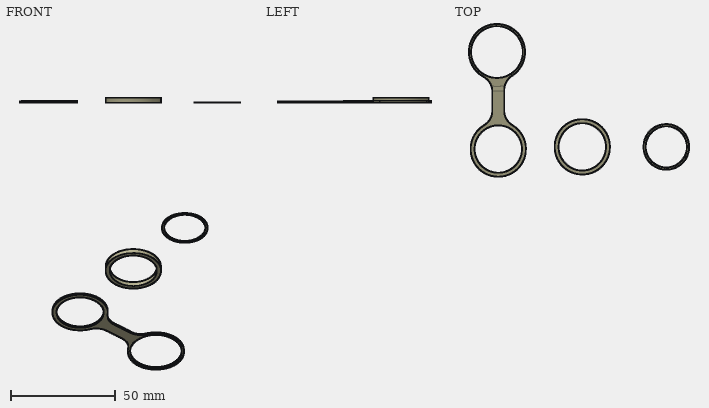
import cadquery as cq
import math

ring_pitch = 40.0
ring_offset_y = 1.0
body_outer_d = 26.5
body_inner_d = 22.5
body_height = 2.5
washer_outer_d = 21.9
washer_inner_d = 19.5
washer_height = 0.3

small_loop_r = body_outer_d / 2
small_loop_hole_d = body_inner_d
large_loop_r = 13.5
large_loop_hole_d = 24.6
large_loop_x = -0.6
large_loop_y = 46.2
neck_width = 5.8
neck_half_width = neck_width / 2
neck_fillet_r = 8.0
strap_height = 1.0
thin_height = 0.8
ramp_start_y = 27.8
ramp_end_r = 16.3


def ring(outer_d, inner_d, height, x, y):
    """Plain flat ring standing on z = 0."""
    return cq.Workplane("XY").center(x, y).circle(outer_d / 2).circle(inner_d / 2).extrude(height)


def flank(loop_x, loop_y, loop_r, side, toward):
    """Fillet between a loop and one neck side: points on the loop, mid-arc and on the neck."""
    center_x = side * (neck_half_width + neck_fillet_r)
    reach = loop_r + neck_fillet_r
    center_y = loop_y + toward * math.sqrt(reach**2 - (center_x - loop_x) ** 2)
    loop_angle = math.atan2(loop_y - center_y, loop_x - center_x)
    neck_point = (side * neck_half_width, center_y)
    loop_point = (
        center_x + neck_fillet_r * math.cos(loop_angle),
        center_y + neck_fillet_r * math.sin(loop_angle),
    )
    chord_x = (neck_point[0] + loop_point[0]) / 2 - center_x
    chord_y = (neck_point[1] + loop_point[1]) / 2 - center_y
    stretch = neck_fillet_r / math.hypot(chord_x, chord_y)
    mid_point = (center_x + chord_x * stretch, center_y + chord_y * stretch)
    return loop_point, mid_point, neck_point


def strap_blank():
    """Strap outline at full height, with both loop holes."""
    small_left = flank(0, 0, small_loop_r, -1, 1)
    small_right = flank(0, 0, small_loop_r, 1, 1)
    large_left = flank(large_loop_x, large_loop_y, large_loop_r, -1, -1)
    large_right = flank(large_loop_x, large_loop_y, large_loop_r, 1, -1)
    return (
        cq.Workplane("XY")
        .moveTo(*small_left[0])
        .threePointArc(small_left[1], small_left[2])
        .lineTo(*large_left[2])
        .threePointArc(large_left[1], large_left[0])
        .threePointArc((large_loop_x, large_loop_y + large_loop_r), large_right[0])
        .threePointArc(large_right[1], large_right[2])
        .lineTo(*small_right[2])
        .threePointArc(small_right[1], small_right[0])
        .threePointArc((0, -small_loop_r), small_left[0])
        .close()
        .extrude(strap_height)
        .cut(cq.Workplane("XY").circle(small_loop_hole_d / 2).extrude(strap_height))
        .cut(
            cq.Workplane("XY")
            .center(large_loop_x, large_loop_y)
            .circle(large_loop_hole_d / 2)
            .extrude(strap_height)
        )
    )


def thinning_cutter():
    """Material above the large loop; a ruled ramp joins an arc below to a straight edge above."""
    half_width = neck_width
    ramp_mid_y = large_loop_y - ramp_end_r
    ramp_side_y = large_loop_y - math.sqrt(ramp_end_r**2 - half_width**2)
    ramp = (
        cq.Workplane("XY", origin=(large_loop_x, 0, thin_height))
        .moveTo(-half_width, ramp_side_y)
        .threePointArc((0, ramp_mid_y), (half_width, ramp_side_y))
        .lineTo(half_width, large_loop_y)
        .lineTo(-half_width, large_loop_y)
        .close()
        .workplane(offset=strap_height - thin_height)
        .moveTo(-half_width, ramp_start_y)
        .lineTo(half_width, ramp_start_y)
        .lineTo(half_width, large_loop_y)
        .lineTo(-half_width, large_loop_y)
        .close()
        .loft(ruled=True)
    )
    loop_cover = (
        cq.Workplane("XY", origin=(large_loop_x, large_loop_y, thin_height))
        .circle(ramp_end_r)
        .extrude(strap_height - thin_height)
    )
    return ramp.union(loop_cover)


strap = strap_blank().cut(thinning_cutter())
body_ring = ring(body_outer_d, body_inner_d, body_height, ring_pitch, ring_offset_y)
washer = ring(washer_outer_d, washer_inner_d, washer_height, 2 * ring_pitch, ring_offset_y)

result = cq.Compound.makeCompound([strap.val(), body_ring.val(), washer.val()])